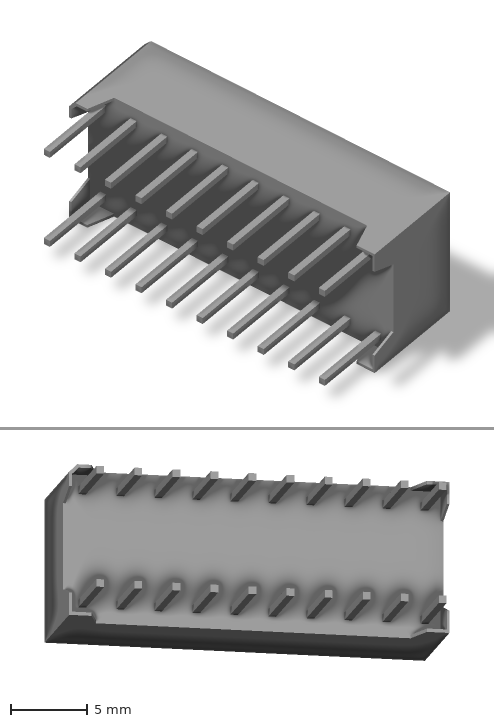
import cadquery as cq

length = 25.4
height = 10.15
total_depth = 12.0
body_depth = 8.0
floor_depth = 6.02

side_wall = 0.18
long_wall = 0.23
foot_tip = 1.5
foot_root = 2.18

bevel = 0.53
inner_bevel = 0.45

pin_count = 10
pin_pitch = 2.55
row_spacing = 7.62
pin_width = 0.5

floor_y = -floor_depth
foot_y = -body_depth
pin_length = total_depth - floor_depth


def bevelled_block(size_x, size_z, edge_bevel):
    """Full-depth block with the pin 1 edge (-X, +Z) bevelled."""
    block = cq.Workplane("XY").box(size_x, body_depth, size_z).translate((0, -body_depth / 2, 0))
    return block.edges("|Y").edges("<X").edges(">Z").chamfer(edge_bevel)


def recess():
    """Space inside the foot walls, from the floor outward."""
    core = bevelled_block(length - 2 * side_wall, height - 2 * long_wall, inner_bevel)
    return core.translate((0, floor_y, 0))


def foot_gap(plane, span, through):
    """Flared gap between two feet, cut straight through the walls on opposite sides."""
    root = span / 2 - foot_root
    tip = span / 2 - foot_tip
    gap = cq.Workplane(plane).polyline([(-root, floor_y), (root, floor_y), (tip, foot_y), (-tip, foot_y)])
    return gap.close().extrude(through / 2, both=True)


def pins():
    """Two rows of square pins standing on the floor."""
    return (
        cq.Workplane("XZ", origin=(0, floor_y, 0))
        .rarray(pin_pitch, row_spacing, pin_count, 2)
        .rect(pin_width, pin_width)
        .extrude(pin_length)
    )


body = bevelled_block(length, height, bevel).cut(recess())
body = body.cut(foot_gap("XY", length, height))
body = body.cut(foot_gap("ZY", height, length))
result = body.union(pins())